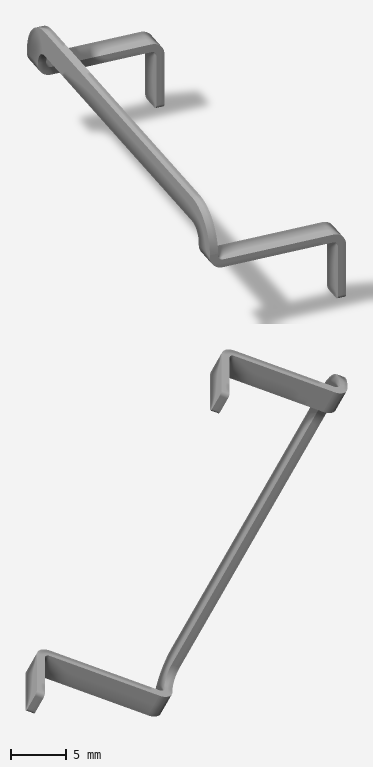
import cadquery as cq

length = 40.7
height = 11.7
depth_right = 13.55
arm_difference = 0.98
thickness = 0.8
strip_width = 2.5
corner_radius = 4.0
bend_inner_radius = 0.5
foot_height = 6.15
foot_corner_radius = 0.4

bend_outer_radius = bend_inner_radius + thickness
corner_inner_radius = corner_radius - strip_width
arm_top = foot_height + thickness
bow_bottom = foot_height + bend_outer_radius


def front_bow():
    """Flat U-shaped bow standing in the XZ plane, front face at Y = 0."""
    right_x = length / 2
    inner_x = right_x - strip_width
    corner_x = right_x - corner_radius
    corner_z = height - corner_radius
    mid = 0.5 ** 0.5
    outer_mid = corner_radius * mid
    inner_mid = corner_inner_radius * mid
    return (
        cq.Workplane("XZ")
        .moveTo(-right_x, bow_bottom)
        .lineTo(-right_x, corner_z)
        .threePointArc((-corner_x - outer_mid, corner_z + outer_mid), (-corner_x, height))
        .lineTo(corner_x, height)
        .threePointArc((corner_x + outer_mid, corner_z + outer_mid), (right_x, corner_z))
        .lineTo(right_x, bow_bottom)
        .lineTo(inner_x, bow_bottom)
        .lineTo(inner_x, corner_z)
        .threePointArc((corner_x + inner_mid, corner_z + inner_mid),
                       (corner_x, corner_z + corner_inner_radius))
        .lineTo(-corner_x, corner_z + corner_inner_radius)
        .threePointArc((-corner_x - inner_mid, corner_z + inner_mid), (-inner_x, corner_z))
        .lineTo(-inner_x, bow_bottom)
        .close()
        .extrude(-thickness)
    )


def arm(start_x, depth):
    """Strip bent back from the bow and then down into a foot."""
    foot_front = depth - thickness
    strip = (
        cq.Workplane("YZ", origin=(start_x, 0, 0))
        .moveTo(0, bow_bottom)
        .radiusArc((bend_outer_radius, foot_height), -bend_outer_radius)
        .lineTo(foot_front - bend_inner_radius, foot_height)
        .radiusArc((foot_front, foot_height - bend_inner_radius), bend_inner_radius)
        .lineTo(foot_front, 0)
        .lineTo(depth, 0)
        .lineTo(depth, arm_top - bend_outer_radius)
        .radiusArc((depth - bend_outer_radius, arm_top), -bend_outer_radius)
        .lineTo(bend_outer_radius, arm_top)
        .radiusArc((thickness, bow_bottom), bend_inner_radius)
        .close()
        .extrude(strip_width)
    )
    return strip.faces("<Z").edges("|Y").fillet(foot_corner_radius)


left_arm = arm(-length / 2, depth_right - arm_difference)
right_arm = arm(length / 2 - strip_width, depth_right)
result = front_bow().union(left_arm).union(right_arm)